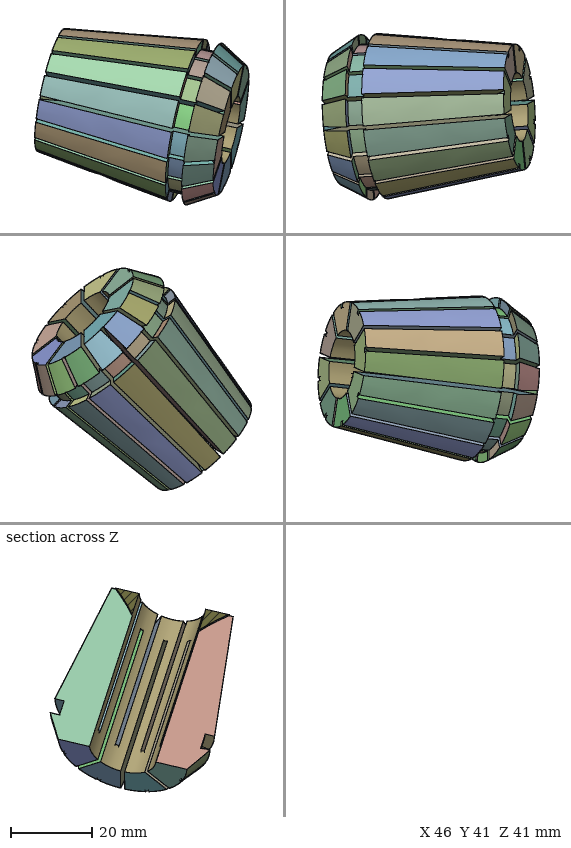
import cadquery as cq
import math

length = 46.0
max_diameter = 41.0
bore_diameter = 17.0
main_cone_length = 34.85
main_cone_angle = 8.0
rear_cone_length = 6.95
rear_cone_angle = 30.0
groove_diameter = 36.15

slots_per_set = 8
slot_width = 1.0
saw_radius = 50.15
nose_runout_radius = 14.6
nose_runout_length = 6.5
rear_runout_radius = 16.25
rear_runout_length = 6.7
cutter_overlap = 1.85

max_radius = max_diameter / 2
bore_radius = bore_diameter / 2
groove_radius = groove_diameter / 2
nose_radius = max_radius - main_cone_length * math.tan(math.radians(main_cone_angle))
rear_radius = max_radius - rear_cone_length * math.tan(math.radians(rear_cone_angle))
rear_cone_start = length - rear_cone_length
slot_pitch = 360.0 / slots_per_set
slot_inner_reach = bore_radius - cutter_overlap
slot_outer_reach = max_radius + cutter_overlap


def make_body():
    """Revolve the double cone with its extraction groove and bore."""
    outline = [
        (0, bore_radius),
        (0, nose_radius),
        (main_cone_length, max_radius),
        (main_cone_length, groove_radius),
        (rear_cone_start, groove_radius),
        (rear_cone_start, max_radius),
        (length, rear_radius),
        (length, bore_radius),
    ]
    return cq.Workplane("XY").polyline(outline).close().revolve(360, (0, 0, 0), (1, 0, 0))


def make_slot(face_radius, runout_length):
    """Radial cutter centred on the XY plane: runs out at x = 0 and is open at x = length.

    The curved floor drops from face_radius at x = 0 to the bore at x = runout_length.
    """
    drop = face_radius - bore_radius
    chord = math.hypot(runout_length, drop)
    sag = saw_radius - math.sqrt(saw_radius**2 - (chord / 2) ** 2)
    floor_middle = (
        runout_length / 2 - sag * drop / chord,
        (face_radius + bore_radius) / 2 - sag * runout_length / chord,
    )
    return (
        cq.Workplane("XY")
        .moveTo(0, slot_outer_reach)
        .lineTo(0, face_radius)
        .threePointArc(floor_middle, (runout_length, bore_radius))
        .lineTo(runout_length, slot_inner_reach)
        .lineTo(length, slot_inner_reach)
        .lineTo(length, slot_outer_reach)
        .close()
        .extrude(slot_width / 2, both=True)
    )


def cut_slot_set(body, slot, first_angle):
    """Cut one evenly spaced ring of slots, the first at first_angle degrees about X."""
    for index in range(slots_per_set):
        angle = first_angle + index * slot_pitch
        body = body.cut(slot.rotate((0, 0, 0), (1, 0, 0), angle))
    return body


slot_from_rear = make_slot(nose_runout_radius, nose_runout_length)
slot_from_nose = make_slot(rear_runout_radius, rear_runout_length).mirror("YZ", (length / 2, 0, 0))

result = make_body()
result = cut_slot_set(result, slot_from_rear, 0)
result = cut_slot_set(result, slot_from_nose, slot_pitch / 2)